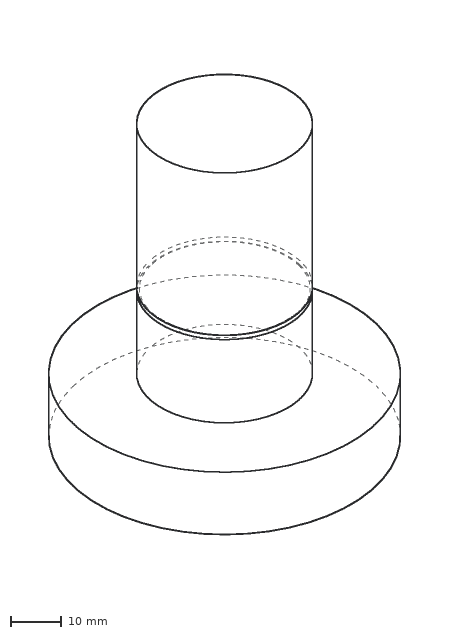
import cadquery as cq

total_height = 75.0
flange_diameter = 70.0
flange_height = 15.0
shaft_diameter = flange_diameter / 2

groove_radius = 0.5
groove_center_above_flange = 20.5
groove_center_z = flange_height + groove_center_above_flange


def make_flange():
    """Round base disc standing on the XY plane."""
    return cq.Workplane("XY").circle(flange_diameter / 2).extrude(flange_height)


def make_shaft():
    """Plain round shaft running from the base to the top."""
    return cq.Workplane("XY").circle(shaft_diameter / 2).extrude(total_height)


def make_groove_cutter():
    """Ring whose inner half cuts a half-round groove into the shaft."""
    center = cq.Vector(0, 0, groove_center_z)
    ring = cq.Solid.makeTorus(shaft_diameter / 2, groove_radius, center)
    return cq.Workplane("XY").add(ring)


result = make_flange().union(make_shaft()).cut(make_groove_cutter())